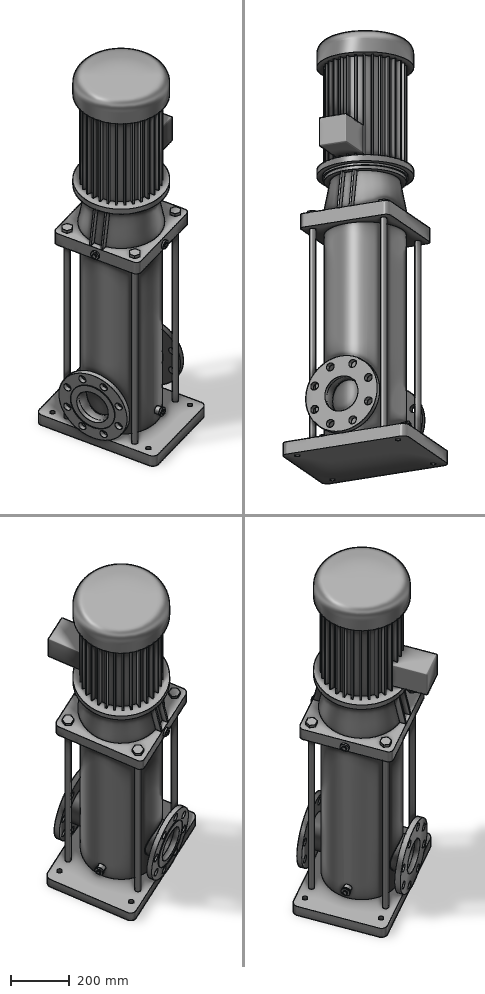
import cadquery as cq
import math


base_height = 45.0
head_bottom = 808.0
head_top = 858.0
lantern_top = 1000.0
ring_top = 1012.0
spigot_top = 1020.0
motor_flange_top = 1042.0
hood_bottom = 1412.0
total_height = 1500.0

base_x = 472.0
base_y = 340.0
base_corner_radius = 22.0
base_hole_diameter = 18.0
base_hole_pitch_x = 380.0
base_hole_pitch_y = 275.0

barrel_diameter = 280.0
rod_diameter = 22.0
rod_pitch = 268.0
nut_across_corners = 40.0
nut_height = 12.0

head_side = 338.0
head_corner_radius = 18.0

port_bore = 125.0
port_neck_diameter = 132.0
port_flange_diameter = 270.0
port_flange_clearance = 0.5
port_height = base_height + port_flange_clearance + port_flange_diameter / 2
port_flange_reach = 187.0
front_flange_thickness = 18.0
rear_flange_thickness = 20.0
raised_face_diameter = 175.0
raised_face_height = 3.0
port_bolt_count = 8
port_bolt_hole = 28.0
port_bolt_circle = 220.0

lantern_base_diameter = 296.0
lantern_top_diameter = 240.0
lantern_ring_diameter = 280.0
spigot_diameter = 292.0
rib_thickness = 7.0
rib_spacing = 45.0
rib_base_reach = 167.0

motor_diameter = 330.0
hood_edge_radius = 40.0
fin_diameter = 284.0
fin_depth = 18.0
fin_thickness = 6.0
fin_count = 30
first_fin_azimuth = 180.0 / fin_count

box_width = 104.0
box_reach = 255.0
box_bottom = 1057.0
box_top = 1161.0
box_edge_radius = 5.0

plug_collar_diameter = 32.0
plug_hex_across_corners = 18.0
plug_hex_length = 5.0
plug_collar_length = 7.0
plug_neck_diameter = 28.0
head_plug_height = 829.0
head_plug_reach = plug_collar_length + plug_hex_length
drain_plug_height = 98.5
drain_plug_reach = 30.0


def cylinder(diameter, bottom, top):
    """Upright cylinder on the shaft axis."""
    return cq.Workplane("XY").workplane(offset=bottom).circle(diameter / 2).extrude(top - bottom)


def rounded_plate(size_x, size_y, corner_radius, bottom, top):
    """Rectangular plate centred on the shaft axis with rounded vertical edges."""
    plate = cq.Workplane("XY").workplane(offset=bottom).rect(size_x, size_y).extrude(top - bottom)
    return plate.edges("|Z").fillet(corner_radius)


def radial_plane(azimuth, height):
    """Plane through the shaft axis whose normal points outward at the azimuth in degrees."""
    angle = math.radians(azimuth)
    return cq.Plane(
        origin=(0, 0, height),
        xDir=(-math.sin(angle), math.cos(angle), 0),
        normal=(math.cos(angle), math.sin(angle), 0),
    )


def radial_cylinder(azimuth, height, diameter, start, end):
    """Horizontal cylinder between two distances from the shaft axis."""
    plane = cq.Workplane(radial_plane(azimuth, height)).workplane(offset=start)
    return plane.circle(diameter / 2).extrude(end - start)


def make_base():
    base = rounded_plate(base_x, base_y, base_corner_radius, 0, base_height)
    holes = cq.Workplane("XY").rect(base_hole_pitch_x, base_hole_pitch_y, forConstruction=True)
    holes = holes.vertices().circle(base_hole_diameter / 2).extrude(base_height)
    return base.cut(holes)


def make_tie_rods():
    rods = cq.Workplane("XY").workplane(offset=base_height)
    rods = rods.rect(rod_pitch, rod_pitch, forConstruction=True).vertices()
    rods = rods.circle(rod_diameter / 2).extrude(head_top - base_height)
    nuts = cq.Workplane("XY").workplane(offset=head_top)
    nuts = nuts.rect(rod_pitch, rod_pitch, forConstruction=True).vertices()
    nuts = nuts.polygon(6, nut_across_corners).extrude(nut_height)
    return rods.union(nuts)


def make_port(azimuth, flange_thickness, face_height):
    """Flanged port whose bore ends at the barrel surface."""
    flange_back = port_flange_reach - flange_thickness
    face = port_flange_reach + face_height
    port = radial_cylinder(azimuth, port_height, port_neck_diameter, 0, flange_back)
    port = port.union(
        radial_cylinder(azimuth, port_height, port_flange_diameter, flange_back, port_flange_reach)
    )
    if face_height > 0:
        port = port.union(
            radial_cylinder(azimuth, port_height, raised_face_diameter, port_flange_reach, face)
        )
    bolt_holes = cq.Workplane(radial_plane(azimuth, port_height)).workplane(offset=flange_back)
    half_step = 180.0 / port_bolt_count
    bolt_holes = bolt_holes.polarArray(port_bolt_circle / 2, half_step, 360, port_bolt_count)
    bolt_holes = bolt_holes.circle(port_bolt_hole / 2).extrude(flange_thickness)
    bore = radial_cylinder(azimuth, port_height, port_bore, 0, face)
    return port.cut(bolt_holes).cut(bore)


def make_plug(azimuth, height, seat, reach):
    """Plug standing on a seat distance: neck, round collar and hexagon at the outer end."""
    hex_start = seat + reach - plug_hex_length
    collar_start = hex_start - plug_collar_length
    neck = radial_cylinder(azimuth, height, plug_neck_diameter, 0, collar_start)
    collar = radial_cylinder(azimuth, height, plug_collar_diameter, collar_start, hex_start)
    hexagon = cq.Workplane(radial_plane(azimuth, height)).workplane(offset=hex_start)
    hexagon = hexagon.polygon(6, plug_hex_across_corners).extrude(plug_hex_length)
    return neck.union(collar).union(hexagon)


def make_lantern():
    """Cone with paired ribs toward -Y and +Y, capped by the motor seat."""
    cone_profile = [
        (0, head_top),
        (lantern_base_diameter / 2, head_top),
        (lantern_top_diameter / 2, lantern_top),
        (0, lantern_top),
    ]
    lantern = cq.Workplane("XZ").polyline(cone_profile).close().revolve(360, (0, 0), (0, 1))
    rib_outline = [
        (-rib_base_reach, head_top),
        (rib_base_reach, head_top),
        (lantern_ring_diameter / 2, lantern_top),
        (-lantern_ring_diameter / 2, lantern_top),
    ]
    for side in (-1, 1):
        rib = cq.Workplane("YZ").workplane(offset=side * rib_spacing / 2 - rib_thickness / 2)
        lantern = lantern.union(rib.polyline(rib_outline).close().extrude(rib_thickness))
    lantern = lantern.union(cylinder(lantern_ring_diameter, lantern_top, ring_top))
    return lantern.union(cylinder(spigot_diameter, ring_top, spigot_top))


def make_motor():
    motor = cylinder(motor_diameter, spigot_top, motor_flange_top)
    core_diameter = fin_diameter - 2 * fin_depth
    motor = motor.union(cylinder(core_diameter, motor_flange_top, hood_bottom))
    fins = cq.Workplane("XY").workplane(offset=motor_flange_top)
    fins = fins.polarArray(fin_diameter / 2 - fin_depth, first_fin_azimuth, 360, fin_count)
    fins = fins.rect(2 * fin_depth, fin_thickness).extrude(hood_bottom - motor_flange_top)
    hood = cylinder(motor_diameter, hood_bottom, total_height)
    hood = hood.faces(">Z").edges().fillet(hood_edge_radius)
    return motor.union(fins).union(hood)


def make_terminal_box():
    box = cq.Workplane("XY").box(
        box_width, box_reach, box_top - box_bottom, centered=(True, False, False)
    )
    box = box.edges(">Y or |Y").fillet(box_edge_radius)
    return box.translate((0, 0, box_bottom))


barrel = cylinder(barrel_diameter, base_height, head_bottom)
head = rounded_plate(head_side, head_side, head_corner_radius, head_bottom, head_top)

front_azimuth = 270
rear_azimuth = 90
result = barrel.union(make_port(front_azimuth, front_flange_thickness, raised_face_height))
result = result.union(make_port(rear_azimuth, rear_flange_thickness, 0))
result = result.union(make_base()).union(head).union(make_tie_rods())
result = result.union(make_lantern()).union(make_motor()).union(make_terminal_box())
for plug_azimuth in (0, front_azimuth):
    result = result.union(make_plug(plug_azimuth, head_plug_height, head_side / 2, head_plug_reach))
for plug_azimuth in (0, 180):
    result = result.union(
        make_plug(plug_azimuth, drain_plug_height, barrel_diameter / 2, drain_plug_reach)
    )